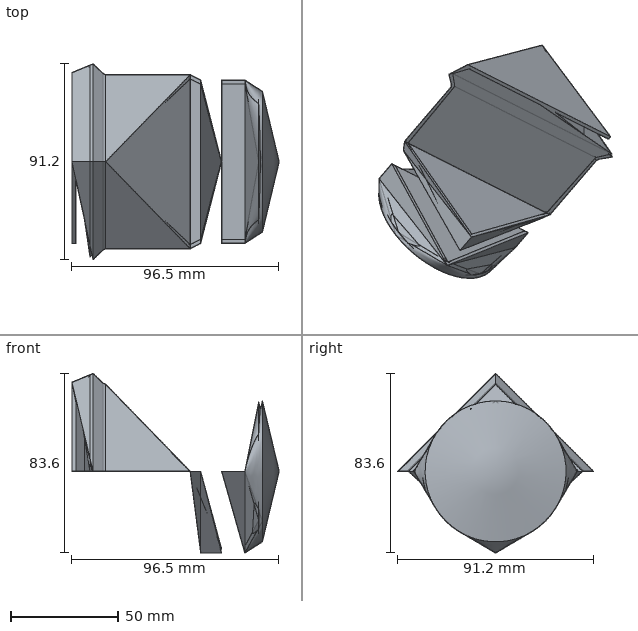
import cadquery as cq
import math

collar_x = 9.8
neck_x = 14.4
wedge_x = 15.7
toe_x = 55.0
end_reach = 41.5
collar_width = 91.2
collar_reach = collar_width / 2
neck_reach = 41.2
wedge_reach = 40.5
cap_thickness = 1.8
cap_side_reach = 38.1

keel_x = 59.9
keel_tip_x = 69.7
keel_reach = 38.0
weld_length = 0.1

prow_x = keel_tip_x
stern_x = 80.5
rim_x = 88.7
rim_radius = 32.8
tail_x = 96.5

wall = 1.9
core_collar_x = 8.4
core_collar_reach = 44.3
core_end_reach = end_reach - wall
core_neck_reach = neck_reach - wall
core_toe_reach = wedge_reach - wall
core_keel_reach = keel_reach - wall
core_rim_x = 86.9
core_rim_radius = 32.2
core_tail_x = tail_x - wall

TOLERANCE = 9.31e-07


def convex_solid(points):
    """Convex polyhedron around the points, one planar face per supporting plane."""
    corners = [cq.Vector(*point) for point in points]
    middle = sum(corners, cq.Vector()) / len(corners)
    faces = []
    found = set()
    count = len(corners)
    triples = [(i, j, k) for i in range(count) for j in range(i) for k in range(j)]
    for i, j, k in triples:
        normal = (corners[j] - corners[i]).cross(corners[k] - corners[i])
        if normal.Length < TOLERANCE:
            continue
        normal = normal.normalized()
        if normal.dot(middle - corners[i]) > 0:
            normal = normal * -1
        heights = [normal.dot(corner - corners[i]) for corner in corners]
        on_plane = frozenset(n for n in range(count) if abs(heights[n]) < TOLERANCE)
        if max(heights) > TOLERANCE or on_plane in found:
            continue
        found.add(on_plane)
        faces.append(polygon_face([corners[n] for n in on_plane], normal))
    return cq.Solid.makeSolid(cq.Shell.makeShell(faces))


def polygon_face(corners, normal):
    """Planar face with its corners put in order around their centre."""
    centre = sum(corners, cq.Vector()) / len(corners)
    across = (corners[0] - centre).normalized()
    along = normal.cross(across)

    def turn(corner):
        offset = corner - centre
        return math.atan2(offset.dot(along), offset.dot(across))

    ordered = sorted(corners, key=turn)
    return cq.Face.makeFromWires(cq.Wire.makePolygon(ordered, close=True))


def edge_ends(x, reach):
    return [(x, -reach, 0), (x, reach, 0)]


def roof(x, reach):
    """Triangle standing on the plane z = 0."""
    return edge_ends(x, reach) + [(x, 0, reach)]


def half_roof(x, reach):
    """The +Y half of a roof triangle."""
    return [(x, 0, 0), (x, reach, 0), (x, 0, reach)]


def vee(x, reach, bottom_x):
    """Triangle hanging from the plane z = 0, with its lowest corner at bottom_x."""
    return edge_ends(x, reach) + [(bottom_x, 0, -reach)]


def hull_chain(sections):
    """Join the convex solids between neighbouring sections."""
    spans = [convex_solid(a + b) for a, b in zip(sections, sections[1:])]
    return spans[0].fuse(*spans[1:])


def slanted_bottom_x(start_x, end_x, reach):
    """X where the sloping keel face is one reach below the plane z = 0."""
    return start_x + (end_x - start_x) * reach / keel_reach


def rim_point(x, radius, degrees):
    angle = math.radians(degrees)
    return (x, radius * math.cos(angle), radius * math.sin(angle))


def rounded_stern(reach, bottom_x, circle_x, radius):
    """Convex blend from the vee triangle at the stern to a circle."""
    right, left, bottom = vee(stern_x, reach, bottom_x)
    top, lower_right, lower_left = 90, 225, 315
    touch_angles = (top, lower_right, lower_left)
    tangents = [rim_point(circle_x, radius, angle) for angle in touch_angles]
    stern = convex_solid([right, left, bottom] + tangents)
    fans = (
        (left, top, lower_left - 360),
        (bottom, lower_right, lower_left),
        (right, top, lower_right),
    )
    for corner, start, end in fans:
        ends = [rim_point(circle_x, radius, angle) for angle in (start, end)]
        arc = cq.Edge.makeThreePointArc(
            cq.Vector(*ends[0]),
            cq.Vector(*rim_point(circle_x, radius, (start + end) / 2)),
            cq.Vector(*ends[1]),
        )
        chord = cq.Edge.makeLine(cq.Vector(*ends[1]), cq.Vector(*ends[0]))
        segment = cq.Wire.assembleEdges([arc, chord])
        point = cq.Vertex.makeVertex(*corner)
        stern = stern.fuse(cq.occ_impl.shapes.loft([segment, point], cap=True, ruled=True))
    return stern


def make_front_core():
    keel_bottom_x = slanted_bottom_x(toe_x, keel_x, core_keel_reach)
    upper = hull_chain([
        half_roof(cap_thickness, core_end_reach),
        roof(core_collar_x, core_collar_reach),
        roof(neck_x, core_neck_reach),
        edge_ends(toe_x + weld_length, core_toe_reach),
    ])
    keel = convex_solid(
        edge_ends(toe_x, core_toe_reach)
        + vee(keel_x, core_keel_reach, keel_bottom_x)
        + [(keel_tip_x, 0, -core_keel_reach)]
    )
    return cq.Workplane(obj=upper.fuse(keel))


def make_front_shell(core):
    upper = hull_chain([
        half_roof(0, end_reach),
        roof(collar_x, collar_reach),
        roof(neck_x, neck_reach),
        roof(wedge_x, wedge_reach),
        edge_ends(toe_x + weld_length, wedge_reach),
    ])
    keel = hull_chain([
        edge_ends(toe_x, wedge_reach),
        vee(keel_x, keel_reach, keel_x),
        [(keel_tip_x, 0, -keel_reach)],
    ])
    cap = (
        cq.Workplane("YZ")
        .polyline([(-cap_side_reach, 0), (end_reach, 0), (0, end_reach)])
        .close()
        .extrude(cap_thickness)
    )
    return cq.Workplane(obj=upper.fuse(keel)).union(cap).cut(core)


def rear_blank(reach, bottom_x, circle_x, radius, tip_x):
    prow = convex_solid(edge_ends(prow_x, reach) + vee(stern_x, reach, bottom_x))
    stern = rounded_stern(reach, bottom_x, circle_x, radius)
    tail = cq.Solid.makeCone(
        radius, 0, tip_x - circle_x, cq.Vector(circle_x, 0, 0), cq.Vector(1, 0, 0)
    )
    return cq.Workplane(obj=prow.fuse(stern, tail))


def make_rear_core():
    bottom_x = slanted_bottom_x(prow_x, stern_x, core_keel_reach)
    return rear_blank(core_keel_reach, bottom_x, core_rim_x, core_rim_radius, core_tail_x)


def make_rear_shell(core):
    return rear_blank(keel_reach, stern_x, rim_x, rim_radius, tail_x).cut(core)


front_core = make_front_core()
front_shell = make_front_shell(front_core)
rear_core = make_rear_core()
rear_shell = make_rear_shell(rear_core)

bodies = (front_shell, front_core, rear_shell, rear_core)
result = cq.Compound.makeCompound([solid for body in bodies for solid in body.solids().vals()])